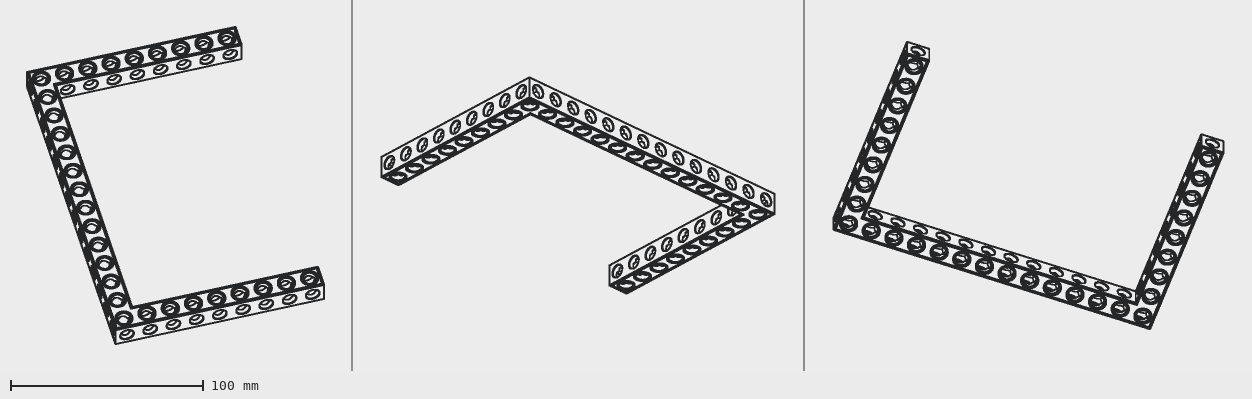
import cadquery as cq

length = 175.0
cells_across = 14
cells_deep = 9
pitch = length / cells_across
depth = cells_deep * pitch
half_cell = pitch / 2

edge_chamfer = 0.3
hole_diameter = 7.0
rim_width = 0.8
relief_depth = 0.2
relief_margin = edge_chamfer + rim_width
boss_diameter = hole_diameter + 2 * relief_margin

overshoot = 1.8

base_row = [(column + 0.5) * pitch for column in range(cells_across)]
arm_column = [(row + 0.5) * pitch for row in range(cells_deep)]
arm_centers = (half_cell, length - half_cell)
vertical_centers = [(x, half_cell) for x in base_row]
vertical_centers += [(x, y) for x in arm_centers for y in arm_column[1:]]


def bar(x_size, y_size, x_start):
    """Square-section bar with all its edges chamfered."""
    block = cq.Workplane("XY").box(x_size, y_size, pitch, centered=False)
    return block.edges().chamfer(edge_chamfer).translate((x_start, 0, 0))


def make_frame():
    """Base bar with an arm toward +Y at each end; the inside corners stay sharp."""
    base = bar(length, pitch, 0)
    left_arm = bar(pitch, depth, 0)
    right_arm = bar(pitch, depth, length - pitch)
    return base.union(left_arm).union(right_arm)


def relief_cutter(z_start):
    """Shallow U-shaped recess inside the rim, leaving a round boss at each hole."""
    low = relief_margin
    high = pitch - relief_margin
    outline = [
        (low, low),
        (length - low, low),
        (length - low, depth - low),
        (length - high, depth - low),
        (length - high, high),
        (high, high),
        (high, depth - low),
        (low, depth - low),
    ]
    plane = cq.Workplane("XY").workplane(offset=z_start)
    recess = plane.polyline(outline).close().extrude(relief_depth)
    bosses = plane.pushPoints(vertical_centers).circle(boss_diameter / 2).extrude(relief_depth)
    return recess.cut(bosses)


def hole_cutter(span):
    """Through-hole cutter along +Z, with a 45 degree chamfered mouth at each end."""
    radius = hole_diameter / 2
    mouth_radius = radius + edge_chamfer
    profile = [
        (0, -overshoot),
        (mouth_radius, -overshoot),
        (mouth_radius, 0),
        (radius, edge_chamfer),
        (radius, span - edge_chamfer),
        (mouth_radius, span),
        (mouth_radius, span + overshoot),
        (0, span + overshoot),
    ]
    return cq.Workplane("XZ").polyline(profile).close().revolve(360, (0, 0), (0, 1))


def along_x(cutter):
    return cutter.rotate((0, 0, 0), (0, 1, 0), 90)


def along_y(cutter):
    return cutter.rotate((0, 0, 0), (1, 0, 0), -90)


def vertical_holes():
    cutter = hole_cutter(pitch)
    return [cutter.translate((x, y, 0)) for x, y in vertical_centers]


def holes_along_y():
    """One hole through the base bar per cell; the end ones run the length of the arms."""
    across_base = along_y(hole_cutter(pitch))
    through_arm = along_y(hole_cutter(depth))
    holes = [across_base.translate((x, 0, half_cell)) for x in base_row[1:-1]]
    holes += [through_arm.translate((x, 0, half_cell)) for x in arm_centers]
    return holes


def holes_along_x():
    """One hole through each arm per cell; the corner one runs the length of the base bar."""
    across_arm = along_x(hole_cutter(pitch))
    through_base = along_x(hole_cutter(length))
    holes = [through_base.translate((0, half_cell, half_cell))]
    for arm_x in arm_centers:
        for y in arm_column[1:]:
            holes.append(across_arm.translate((arm_x - half_cell, y, half_cell)))
    return holes


result = make_frame()
for relief_start in (0, pitch - relief_depth):
    result = result.cut(relief_cutter(relief_start))
for hole in vertical_holes() + holes_along_y() + holes_along_x():
    result = result.cut(hole)
result = result.solids()